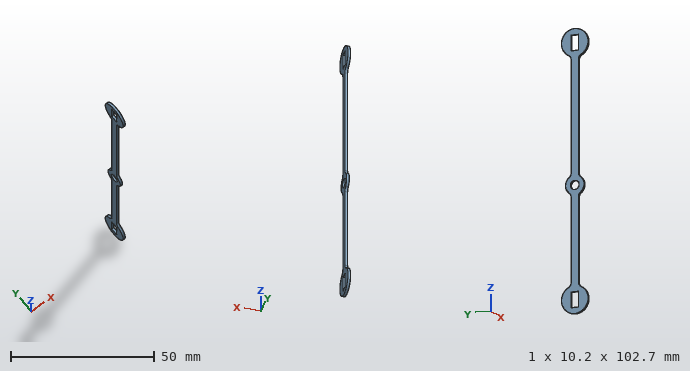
import cadquery as cq

length = 102.7
thickness = 1.0
end_diameter = 10.2
bar_width = 2.8
hub_diameter = 7.1
hub_height = -5.0
hub_hole_diameter = 3.3
slot_width = 2.8
slot_length = 5.7
neck_radius = 2.0

end_height = (length - end_diameter) / 2
end_centres = [(0, -end_height), (0, end_height)]
hub_centre = (0, hub_height)


def disc(centres, diameter):
    """Full-thickness discs at the given (Y, Z) centres."""
    return cq.Workplane("YZ").pushPoints(centres).circle(diameter / 2).extrude(thickness / 2, both=True)


def at_neck(edge):
    """True for an edge through the thickness where the bar meets a disc."""
    return abs(abs(edge.Center().y) - bar_width / 2) < bar_width / 100


bar = cq.Workplane("YZ").rect(bar_width, 2 * end_height).extrude(thickness / 2, both=True)
body = bar.union(disc(end_centres, end_diameter)).union(disc([hub_centre], hub_diameter))

neck_edges = body.edges("|X").filter(at_neck)
body = neck_edges.fillet(neck_radius)

slots = (
    cq.Workplane("YZ")
    .pushPoints(end_centres)
    .rect(slot_width, slot_length)
    .extrude(thickness, both=True)
)
result = body.cut(slots).cut(disc([hub_centre], hub_hole_diameter))